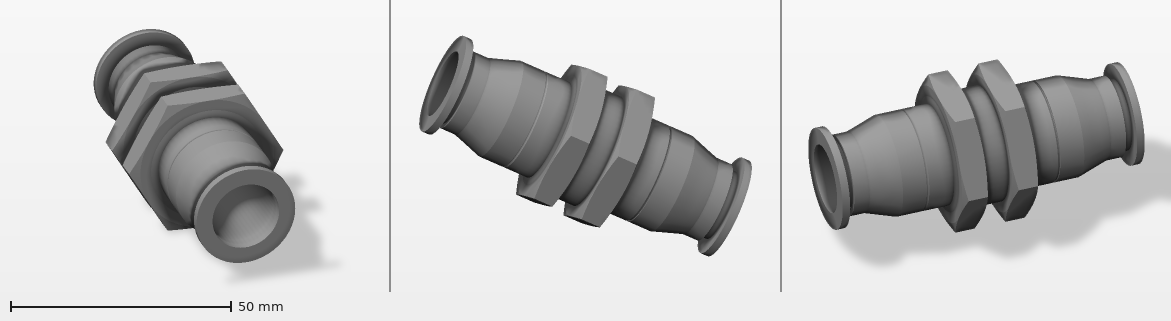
import math

import cadquery as cq

length = 72.6
half_length = length / 2

body_diameter = 23.7
flange_diameter = body_diameter
neck_diameter = 16.6
collar_diameter = 18.95
groove_diameter = 23.0
thread_diameter = 27.0
tube_bore_diameter = 16.0
through_bore_diameter = 13.0

flange_end = 1.8
neck_end = 3.6
collar_end = 7.3
cone_end = 14.5
groove_start = 20.25
groove_floor_end = 20.5
groove_end = 20.8
thread_start = 26.8
tube_bore_depth = 26.1

nut_across_flats = 32.0
nut_across_corners = nut_across_flats / math.cos(math.radians(30))
nut_width = 6.1
nut_gap = 5.95
nut_outer_face = half_length - nut_gap / 2 - nut_width
nut_chamfer_length = 0.7


def revolve_about_x(outline):
    """Revolve a closed outline of (x, radius) points about the X axis."""
    return cq.Workplane("XY").polyline(outline).close().revolve(360, (0, 0, 0), (1, 0, 0))


def make_half_body():
    """Solid half of the body, from the -X end to the middle.

    The chamfer on the thread ends level with the outer face of the nut.
    """
    profile = [
        (0, 0),
        (0, flange_diameter),
        (flange_end, flange_diameter),
        (flange_end, neck_diameter),
        (neck_end, neck_diameter),
        (neck_end, collar_diameter),
        (collar_end, collar_diameter),
        (cone_end, body_diameter),
        (groove_start, body_diameter),
        (groove_start, groove_diameter),
        (groove_floor_end, groove_diameter),
        (groove_end, body_diameter),
        (thread_start, body_diameter),
        (nut_outer_face, thread_diameter),
        (half_length, thread_diameter),
        (half_length, 0),
    ]
    return revolve_about_x([(depth - half_length, diameter / 2) for depth, diameter in profile])


def make_nut():
    """Hexagonal nut on the -X side, its corners chamfered on both faces."""
    inner_x = -nut_gap / 2
    outer_x = nut_outer_face - half_length
    hexagon = cq.Workplane("YZ", origin=(outer_x, 0, 0)).polygon(6, nut_across_corners).extrude(nut_width)
    face_radius = nut_across_flats / 2
    corner_radius = nut_across_corners / 2
    corner_envelope = revolve_about_x([
        (outer_x, 0),
        (outer_x, face_radius),
        (outer_x + nut_chamfer_length, corner_radius),
        (inner_x - nut_chamfer_length, corner_radius),
        (inner_x, face_radius),
        (inner_x, 0),
    ])
    return hexagon.intersect(corner_envelope)


def make_bore():
    """Through bore, widened at both ends to take the tubes."""
    bore = cq.Workplane("YZ").circle(through_bore_diameter / 2).extrude(half_length, both=True)
    left_tube = (
        cq.Workplane("YZ", origin=(-half_length, 0, 0))
        .circle(tube_bore_diameter / 2)
        .extrude(tube_bore_depth)
    )
    return bore.union(left_tube).union(left_tube.mirror("YZ"))


half = make_half_body().union(make_nut())
result = half.union(half.mirror("YZ")).cut(make_bore())